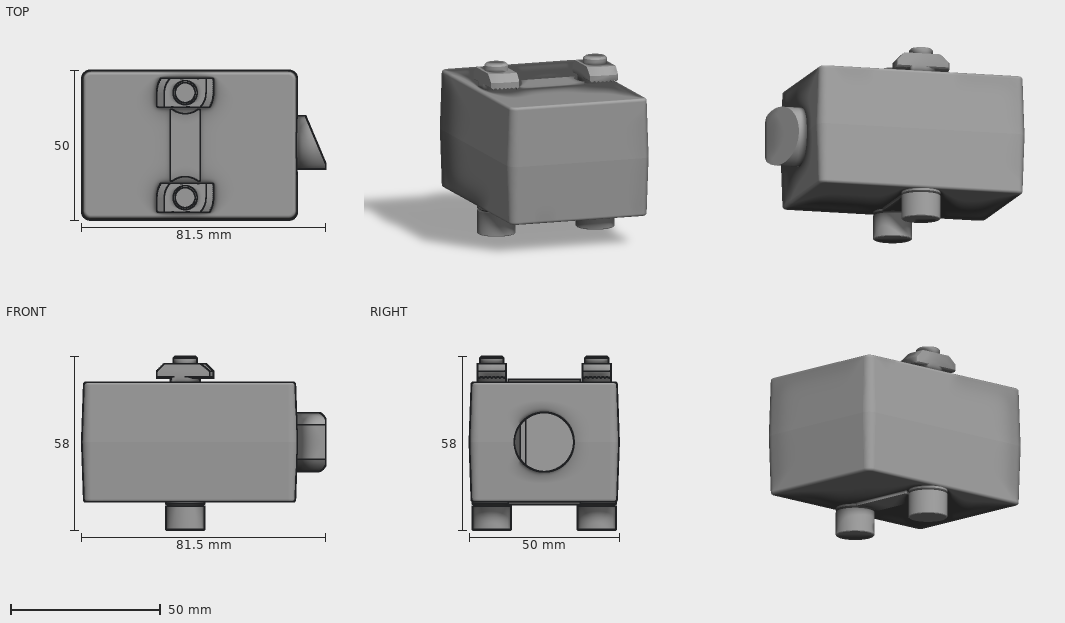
import cadquery as cq
import math

TOTAL_LENGTH = 81.5

HOUSING_LENGTH = 72.05
HOUSING_WIDTH = 50.05
HOUSING_HEIGHT = 40.0
DRAFT_ANGLE = 2.0
CORNER_RADIUS = 3.0
RIM_RADIUS = 1.0

SCREW_X = -1.5
SCREW_SPACING = 35.05
SCREW_HOLE_DIAMETER = 8.6

RIB_LENGTH_X = 10.1
RIB_HEIGHT = 1.0
RIB_END_RADIUS = 7.0
RIB_TIP_RADIUS = 0.5

BOLT_DIAMETER = 19.7
BOLT_HOLE_DIAMETER = 20.0
BOLT_DEPTH = 16.3
BOLT_FLAT_OFFSET = 8.0
BOLT_SLANT_START_Y = -6.1
BOLT_SLANT_LENGTH = 6.8

WASHER_DIAMETER = 13.0
WASHER_HOLE_DIAMETER = 8.4
WASHER_SEAT_DIAMETER = 10.3
WASHER_RIM_HEIGHT = 0.65
WASHER_HEIGHT = 1.4

SHANK_DIAMETER = 8.0
SCREW_TIP_DIAMETER = 6.7
HEAD_DIAMETER = 13.0
HEAD_HEIGHT = 8.0
HEAD_EDGE_CHAMFER = 0.25
SCREW_PROTRUSION = 8.6

NUT_LENGTH = 19.0
NUT_WIDTH = 9.6
NUT_HEIGHT = 6.2
NUT_NECK_HEIGHT = 1.9
NUT_END_CHAMFER = 2.5
NUT_CORNER_RADIUS = 0.5
NECK_CORNER_RADIUS = 1.0
TOOTH_COUNT = 7
TOOTH_DEPTH = 0.5

HALF_HEIGHT = HOUSING_HEIGHT / 2
HOUSING_END_X = HOUSING_LENGTH / 2
BOLT_TIP_X = TOTAL_LENGTH - HOUSING_END_X
BOLT_BASE_X = HOUSING_END_X - BOLT_DEPTH
SCREW_POINTS = [(SCREW_X, -SCREW_SPACING / 2), (SCREW_X, SCREW_SPACING / 2)]
HEAD_SEAT_Z = -HALF_HEIGHT - WASHER_HEIGHT


def make_cylinder_x(diameter, start_x, end_x):
    """Cylinder on the X axis between two X places."""
    return cq.Workplane("YZ").workplane(offset=start_x).circle(diameter / 2).extrude(end_x - start_x)


def make_rib():
    """Flat rib between the screws, its ends hollowed around the screw axes."""
    rib = cq.Workplane("XY").center(SCREW_X, 0).rect(RIB_LENGTH_X, SCREW_SPACING).extrude(RIB_HEIGHT)
    relief = cq.Workplane("XY").pushPoints(SCREW_POINTS).circle(RIB_END_RADIUS).extrude(RIB_HEIGHT)
    return rib.cut(relief).edges("|Z").fillet(RIB_TIP_RADIUS)


def make_housing_half():
    """Upper half: walls drafted inward from the mid-plane, rounded rim and a rib on top."""
    half = (
        cq.Workplane("XY")
        .sketch()
        .rect(HOUSING_LENGTH, HOUSING_WIDTH)
        .vertices()
        .fillet(CORNER_RADIUS)
        .finalize()
        .extrude(HALF_HEIGHT, taper=DRAFT_ANGLE)
        .faces(">Z")
        .edges()
        .fillet(RIM_RADIUS)
    )
    return half.union(make_rib().translate((0, 0, HALF_HEIGHT)))


def make_housing():
    upper = make_housing_half()
    housing = upper.union(upper.mirror("XY"))
    screw_holes = (
        cq.Workplane("XY")
        .workplane(offset=-HALF_HEIGHT)
        .pushPoints(SCREW_POINTS)
        .circle(SCREW_HOLE_DIAMETER / 2)
        .extrude(HOUSING_HEIGHT)
    )
    bolt_hole = make_cylinder_x(BOLT_HOLE_DIAMETER, BOLT_BASE_X, HOUSING_END_X)
    return housing.cut(screw_holes).cut(bolt_hole)


def make_latch_bolt():
    """Round bolt with a flat on its -Y side and a slanted end."""
    bolt = make_cylinder_x(BOLT_DIAMETER, BOLT_BASE_X, BOLT_TIP_X)
    radius = BOLT_DIAMETER / 2
    plan = (
        cq.Workplane("XY")
        .workplane(offset=-radius)
        .moveTo(BOLT_BASE_X, -BOLT_FLAT_OFFSET)
        .lineTo(BOLT_TIP_X, -BOLT_FLAT_OFFSET)
        .lineTo(BOLT_TIP_X, BOLT_SLANT_START_Y)
        .lineTo(BOLT_TIP_X - BOLT_SLANT_LENGTH, radius)
        .lineTo(BOLT_BASE_X, radius)
        .close()
        .extrude(BOLT_DIAMETER)
    )
    return bolt.intersect(plan)


def make_washer():
    """Washer with its top at Z = 0, tapering down to a smaller seat for the screw head."""
    return (
        cq.Workplane("XZ")
        .moveTo(WASHER_HOLE_DIAMETER / 2, 0)
        .lineTo(WASHER_DIAMETER / 2, 0)
        .lineTo(WASHER_DIAMETER / 2, -WASHER_RIM_HEIGHT)
        .lineTo(WASHER_SEAT_DIAMETER / 2, -WASHER_HEIGHT)
        .lineTo(WASHER_HOLE_DIAMETER / 2, -WASHER_HEIGHT)
        .close()
        .revolve()
    )


def make_screw():
    """Screw with its head seat at Z = 0 and the shank pointing up."""
    shank_length = HALF_HEIGHT + SCREW_PROTRUSION - HEAD_SEAT_Z
    tip_chamfer = (SHANK_DIAMETER - SCREW_TIP_DIAMETER) / 2
    shank = cq.Workplane("XY").circle(SHANK_DIAMETER / 2).extrude(shank_length)
    shank = shank.faces(">Z").chamfer(tip_chamfer)
    head = cq.Workplane("XY").circle(HEAD_DIAMETER / 2).extrude(-HEAD_HEIGHT)
    head = head.faces("<Z").chamfer(HEAD_EDGE_CHAMFER)
    return shank.union(head)


def make_quarter_turn_block(radius, height):
    """Square block with two opposite corners fully rounded, so that it can turn in a slot."""
    mid = radius * math.sqrt(0.5)
    return (
        cq.Workplane("XY")
        .moveTo(-radius, 0)
        .threePointArc((-mid, mid), (0, radius))
        .lineTo(radius, radius)
        .lineTo(radius, 0)
        .threePointArc((mid, -mid), (0, -radius))
        .lineTo(-radius, -radius)
        .close()
        .extrude(height)
    )


def make_tooth_grooves():
    """V grooves along X that leave a row of teeth under the nut head."""
    pitch = NUT_WIDTH / TOOTH_COUNT
    grooves = cq.Workplane("YZ").workplane(offset=-NUT_LENGTH / 2)
    for index in range(TOOTH_COUNT + 1):
        groove_y = -NUT_WIDTH / 2 + index * pitch
        grooves = grooves.moveTo(groove_y - pitch / 2, 0)
        grooves = grooves.lineTo(groove_y, TOOTH_DEPTH).lineTo(groove_y + pitch / 2, 0).close()
    return grooves.extrude(NUT_LENGTH)


def make_nut():
    """T-slot nut with its neck standing on Z = 0."""
    head_base_z = NUT_NECK_HEIGHT - TOOTH_DEPTH
    head_height = NUT_HEIGHT - head_base_z
    head = make_quarter_turn_block(NUT_LENGTH / 2, head_height)
    head = head.faces(">Z").chamfer(NUT_END_CHAMFER)
    blank = (
        make_quarter_turn_block(NUT_LENGTH / 2, head_height)
        .intersect(cq.Workplane("XY").box(NUT_LENGTH, NUT_WIDTH, NUT_LENGTH))
        .edges("|Z and (<XY or >XY)")
        .fillet(NUT_CORNER_RADIUS)
    )
    head = head.intersect(blank).cut(make_tooth_grooves()).translate((0, 0, head_base_z))

    neck = make_quarter_turn_block(NUT_WIDTH / 2, NUT_HEIGHT - NUT_END_CHAMFER)
    neck = neck.edges("|Z and (<XY or >XY)").fillet(NECK_CORNER_RADIUS)

    bore = cq.Workplane("XY").circle(SHANK_DIAMETER / 2).extrude(NUT_HEIGHT)
    return head.union(neck).cut(bore)


housing = make_housing()
latch_bolt = make_latch_bolt()
washers = []
screws = []
nuts = []
for x, y in SCREW_POINTS:
    washers.append(make_washer().translate((x, y, -HALF_HEIGHT)))
    screws.append(make_screw().translate((x, y, HEAD_SEAT_Z)))
    nuts.append(make_nut().translate((x, y, HALF_HEIGHT)))

bodies = [housing, latch_bolt, *washers, *screws, *nuts]
result = cq.Compound.makeCompound([body.val() for body in bodies])